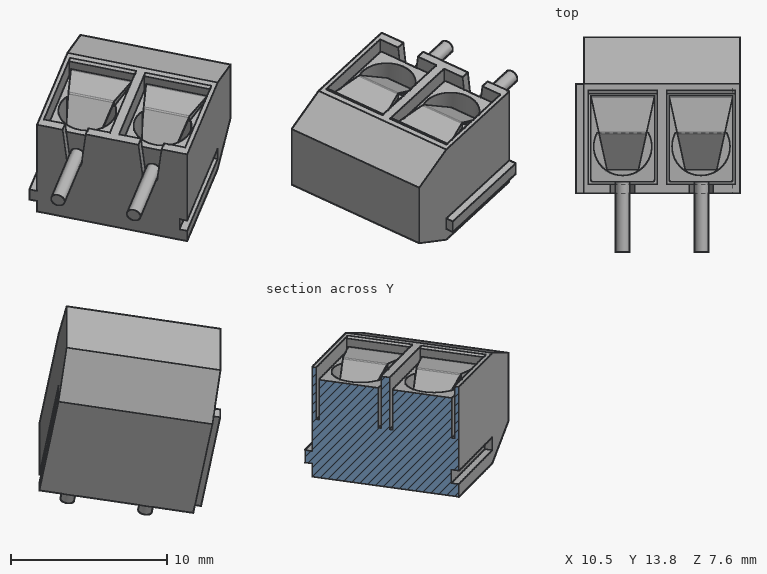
import cadquery as cq
import math


body_width = 10.0
body_depth = 10.0
body_height = 7.6
bevel_depth = 3.0
top_bevel_drop = 1.11
bottom_bevel_rise = 1.8

rib_width = 0.51
rib_bottom = 0.91
rib_height = 0.9
rib_length = body_depth - bevel_depth

pole_count = 2
pole_pitch = 5.0
first_pole_x = 2.49
pocket_width = 4.4
pocket_front = 0.59
pocket_back = 6.38
pocket_depth = 3.58
back_lip_depth = 0.22
back_lip_drop = 0.11

clamp_width = 4.07
clamp_front = 0.74
clamp_back = 6.23
clamp_top = body_height - 0.82
clamp_corner_radius = 0.14

well_radius = 1.85
well_center_y = 3.0
well_back = 3.89
well_depth = 2.48
well_floor = clamp_top - well_depth

wedge_back = 6.15
wedge_back_width = 4.04
wedge_tip = 1.5
wedge_tip_width = 2.01
ridge_y = 3.86
ridge_z = body_height - 0.4
back_slope = math.radians(5)
front_slope = math.radians(34.6)
ridge_radius = 0.2
tongue_thickness = 0.1
tongue_drop = tongue_thickness / math.cos(front_slope)
wedge_back_z = ridge_z - (wedge_back - ridge_y) * math.tan(back_slope)
wedge_tip_z = ridge_z - (ridge_y - wedge_tip) * math.tan(front_slope)

pin_pitch = 5.05
pin_radius = 0.45
overall_depth = 13.75
pin_length = overall_depth - body_depth
pin_z = body_height - 2.58
notch_bottom_radius = 0.5
notch_top_width = 1.54
first_pin_x = 2.48


def box(x_min, x_max, y_min, y_max, z_min, z_max):
    size = (x_max - x_min, y_max - y_min, z_max - z_min)
    return cq.Workplane("XY").box(*size, centered=False).translate((x_min, y_min, z_min))


def make_housing():
    """Beveled block with the side rib added and the side groove removed."""
    bevel_start = body_depth - bevel_depth
    block = (
        cq.Workplane("YZ")
        .polyline([
            (0, 0),
            (bevel_start, 0),
            (body_depth, bottom_bevel_rise),
            (body_depth, body_height - top_bevel_drop),
            (bevel_start, body_height),
            (0, body_height),
        ])
        .close()
        .extrude(body_width)
    )
    rib_top = rib_bottom + rib_height
    rib = box(-rib_width, 0, 0, rib_length, rib_bottom, rib_top)
    groove = box(body_width - rib_width, body_width, 0, rib_length, rib_bottom, rib_top)
    return block.union(rib).cut(groove)


def make_pocket(pole_x):
    """Pocket void with a sloped lip along the top of its back wall."""
    pocket_floor = body_height - pocket_depth
    return (
        cq.Workplane("YZ")
        .polyline([
            (pocket_front, pocket_floor),
            (pocket_back, pocket_floor),
            (pocket_back, body_height - back_lip_drop),
            (pocket_back + back_lip_depth, body_height),
            (pocket_front, body_height),
        ])
        .close()
        .extrude(pocket_width / 2, both=True)
        .translate((pole_x, 0, 0))
    )


def make_wedge(pole_x):
    """Ridge-topped wedge whose tongue narrows toward the front and dips into the well."""
    tongue_root_z = ridge_z - tongue_drop - (ridge_y - well_back) * math.tan(front_slope)
    profile = (
        cq.Workplane("YZ")
        .polyline([
            (wedge_tip, wedge_tip_z - tongue_drop),
            (well_back, tongue_root_z),
            (well_back, well_floor),
            (clamp_back, well_floor),
            (clamp_back, wedge_back_z),
            (wedge_back, wedge_back_z),
            (ridge_y, ridge_z),
            (wedge_tip, wedge_tip_z),
        ])
        .close()
        .extrude(wedge_back_width / 2, both=True)
        .edges(cq.selectors.NearestToPointSelector((0, ridge_y, ridge_z)))
        .fillet(ridge_radius)
    )
    plan = (
        cq.Workplane("XY")
        .polyline([
            (-wedge_tip_width / 2, wedge_tip),
            (wedge_tip_width / 2, wedge_tip),
            (wedge_back_width / 2, wedge_back),
            (wedge_back_width / 2, clamp_back),
            (-wedge_back_width / 2, clamp_back),
            (-wedge_back_width / 2, wedge_back),
        ])
        .close()
        .extrude(body_height)
    )
    return profile.intersect(plan).translate((pole_x, 0, 0))


def make_clamp(pole_x):
    """Clamp cage rising from the pocket floor, with the well and the wedge."""
    half_width = clamp_width / 2
    cage = (
        box(pole_x - half_width, pole_x + half_width, clamp_front, clamp_back,
            body_height - pocket_depth, clamp_top)
        .edges("|Z and <Y")
        .fillet(clamp_corner_radius)
    )
    well = (
        cq.Workplane("XY", origin=(pole_x, well_center_y, well_floor))
        .circle(well_radius)
        .extrude(well_depth)
        .intersect(box(0, body_width, 0, well_back, 0, body_height))
    )
    return cage.cut(well).union(make_wedge(pole_x))


def make_notch(pin_x):
    """Opening through the front wall: a round seat with straight flaring sides above."""
    seat = (
        cq.Workplane("XZ", origin=(pin_x, 0, pin_z))
        .circle(notch_bottom_radius)
        .extrude(-pocket_front)
    )
    flare = (
        cq.Workplane("XZ")
        .polyline([
            (pin_x - notch_bottom_radius, pin_z),
            (pin_x + notch_bottom_radius, pin_z),
            (pin_x + notch_top_width / 2, body_height),
            (pin_x - notch_top_width / 2, body_height),
        ])
        .close()
        .extrude(-pocket_front)
    )
    return seat.union(flare)


def make_pin(pin_x):
    """Straight round pin running from the clamp out through the front notch."""
    return (
        cq.Workplane("XZ", origin=(pin_x, clamp_front, pin_z))
        .circle(pin_radius)
        .extrude(clamp_front + pin_length)
    )


result = make_housing()
for pole in range(pole_count):
    pole_x = first_pole_x + pole * pole_pitch
    pin_x = first_pin_x + pole * pin_pitch
    result = result.cut(make_pocket(pole_x)).cut(make_notch(pin_x))
    result = result.union(make_clamp(pole_x)).union(make_pin(pin_x))